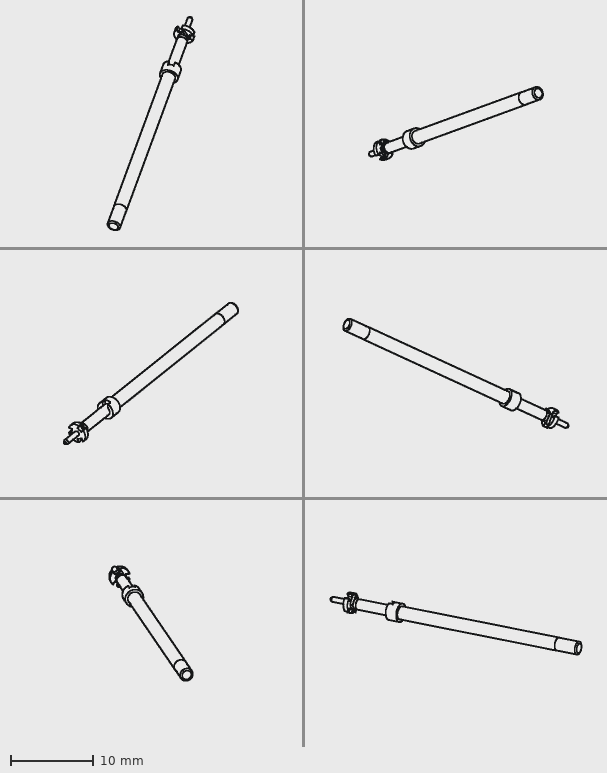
import cadquery as cq
import math

overall_length = 35.5
y_end = 0.0
tail_length = 3.0
tip_length = 2.5
flange_thickness = 0.6
key_thickness = 0.4
neck_length = 0.4
barrel_length = 4.6
collar_length = 1.5

y_tip = y_end + overall_length
y_flange_outer = y_tip - tip_length
y_flange_inner = y_flange_outer - flange_thickness
y_key_inner = y_flange_inner - key_thickness
y_barrel_outer = y_key_inner - neck_length
y_collar_outer = y_barrel_outer - barrel_length
y_collar_inner = y_collar_outer - collar_length
y_tail_inner = y_end + tail_length

sleeve_diameter = 1.65
tail_diameter = 1.62
collar_diameter = 2.3
barrel_diameter = 1.32
neck_diameter = 1.28
flange_diameter = 2.5
tip_diameter = 0.65

tail_chamfer_length = 0.14
tail_chamfer_inset = 0.23
tip_chamfer_length = 0.25
tip_chamfer_inset = 0.15

collar_notch_width = 0.75
collar_notch_depth = 0.55

rim_notch_count = 3
rim_notch_width = 0.7
rim_notch_floor_radius = 0.75

key_half_height = 1.12
key_face_tilt = math.radians(30)
key_half_width = key_half_height * math.tan(key_face_tilt)


def cylinder(diameter, y_start, y_stop):
    """Cylinder on the Y axis between two stations."""
    return cq.Workplane("XZ", origin=(0, y_start, 0)).circle(diameter / 2).extrude(y_start - y_stop)


def make_tail():
    """Closed end of the sleeve, with a shallow conical edge."""
    tail = cylinder(tail_diameter, y_end, y_tail_inner)
    return tail.faces("<Y").chamfer(tail_chamfer_length, tail_chamfer_inset)


def make_collar():
    """Collar with a notch that exposes the barrel surface."""
    notch = cq.Workplane("XY").box(
        collar_notch_width, collar_notch_depth, collar_diameter, centered=(True, False, False)
    )
    notch = notch.translate((0, y_collar_outer - collar_notch_depth, 0))
    return cylinder(collar_diameter, y_collar_inner, y_collar_outer).cut(notch)


def make_flange():
    """Round flange with evenly spaced rim notches, the first one on +X."""
    flange = cylinder(flange_diameter, y_flange_inner, y_flange_outer)
    notch = cq.Workplane("XY").box(
        flange_diameter, flange_thickness, rim_notch_width, centered=(False, False, True)
    )
    notch = notch.translate((rim_notch_floor_radius, y_flange_inner, 0))
    for index in range(rim_notch_count):
        angle = index * 360 / rim_notch_count
        flange = flange.cut(notch.rotate((0, 0, 0), (0, 1, 0), angle))
    return flange


def make_key():
    """Diamond-shaped plate between the flange and the neck."""
    corners = [
        (-key_half_width, 0),
        (0, key_half_height),
        (key_half_width, 0),
        (0, -key_half_height),
    ]
    plate = cq.Workplane("XZ", origin=(0, y_key_inner, 0)).polyline(corners).close()
    return plate.extrude(-key_thickness)


def make_tip():
    """Thin contact tip with a conical point."""
    tip = cylinder(tip_diameter, y_flange_outer, y_tip)
    return tip.faces(">Y").chamfer(tip_chamfer_length, tip_chamfer_inset)


sleeve = cylinder(sleeve_diameter, y_tail_inner, y_collar_inner)
barrel = cylinder(barrel_diameter, y_collar_inner, y_barrel_outer)
neck = cylinder(neck_diameter, y_barrel_outer, y_key_inner)

result = make_tail()
for section in (sleeve, make_collar(), barrel, neck, make_key(), make_flange(), make_tip()):
    result = result.union(section)